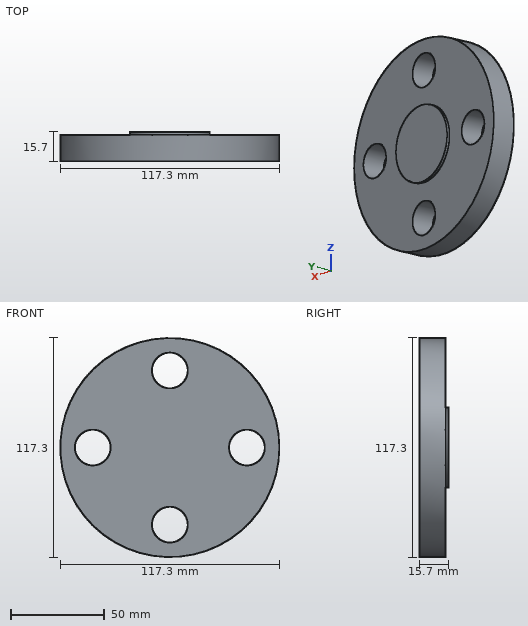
import cadquery as cq

flange_diameter = 117.3
total_thickness = 15.7
raised_face_height = 1.6
raised_face_diameter = 42.9
plate_thickness = total_thickness - raised_face_height

bolt_circle_diameter = 82.5
bolt_hole_diameter = 19.0
bolt_hole_count = 4


def disk(diameter, start_y, thickness):
    """Solid disk about the Y axis, growing toward +Y from start_y."""
    plane = cq.Workplane("XZ", origin=(0, start_y, 0))
    return plane.circle(diameter / 2).extrude(-thickness)


def bolt_holes():
    """Cutters that pass through the full plate thickness."""
    return (
        cq.Workplane("XZ")
        .polarArray(bolt_circle_diameter / 2, 0, 360, bolt_hole_count)
        .circle(bolt_hole_diameter / 2)
        .extrude(-plate_thickness)
    )


plate = disk(flange_diameter, 0, plate_thickness)
raised_face = disk(raised_face_diameter, plate_thickness, raised_face_height)

result = plate.union(raised_face).cut(bolt_holes())